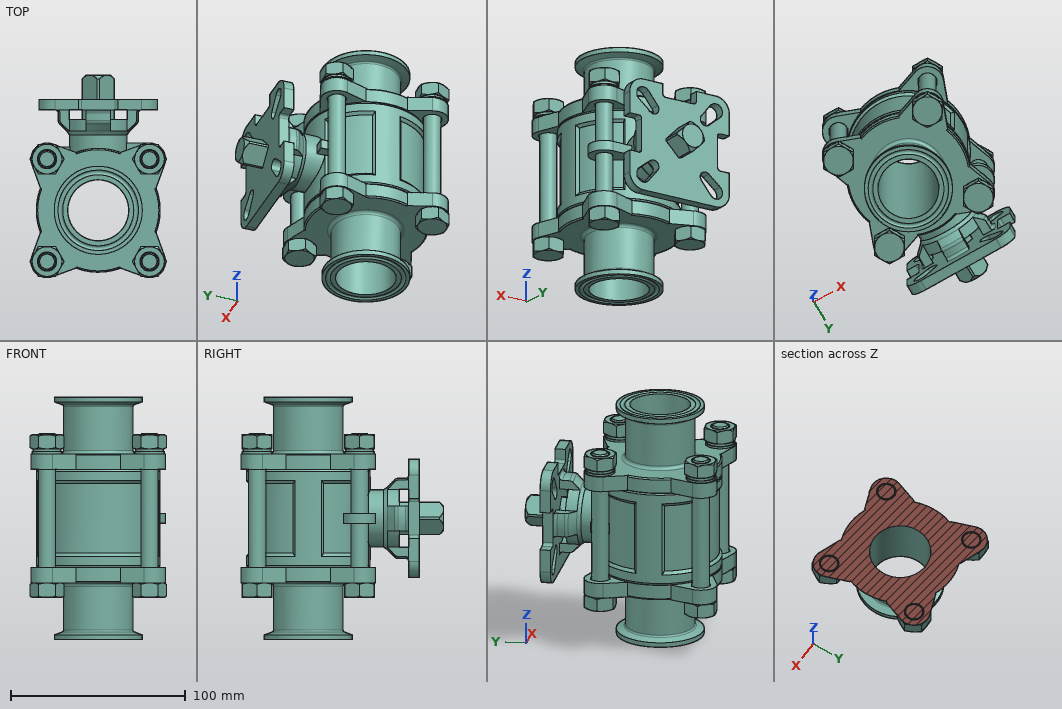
import cadquery as cq
import math

HALF_LENGTH = 69.5
BORE_D = 34.8
TUBE_D = 40.0
FERRULE_D = 50.5
FERRULE_RIM = 2.8
FERRULE_CONE_ANGLE = math.radians(20)
FERRULE_BLEND_R = 1.1
GROOVE_MEAN_R = 21.7
GROOVE_WIDTH = 2.7
GROOVE_DEPTH = 1.0
TUBE_FOOT_FLARE = 2.0

FLANGE_IN_Z = 28.0
FLANGE_THICKNESS = 9.0
FLANGE_OUT_Z = FLANGE_IN_Z + FLANGE_THICKNESS
FLANGE_D = 71.0
FLANGE_EDGE_CHAMFER = 0.8
LOBE_R = 9.25
LOBE_START_ANGLE = math.radians(21)

BOLT_CIRCLE_D = 83.0
BOLT_OFFSET = BOLT_CIRCLE_D / 2 / math.sqrt(2)
BOLT_D = 10.0
BOLT_HOLE_D = 11.0
HEX_FLATS = 17.0
HEX_CORNERS = HEX_FLATS / math.cos(math.pi / 6)
HEX_CHAMFER_ANGLE = math.radians(30)
HEAD_HEIGHT = 8.3
WASHER_D = 17.0
WASHER_THICKNESS = 1.2
SPRING_WASHER_D = 16.0
SPRING_WASHER_THICKNESS = 1.6
NUT_HEIGHT = 8.1
BOLT_TIP = 0.8
BOLT_TIP_D = 8.5
NUT_COUNTERSINK = (BOLT_HOLE_D - BOLT_D) / 2

BODY_R = 35.5
BODY_END_CHAMFER_R = 0.5
BODY_END_CHAMFER_Z = 1.1
PANEL_HALF_HEIGHT = 21.7
PANEL_BEVEL_Z = 1.8
PANEL_DEPTH = 1.5
RIB_HALF_WIDTH = 7.6
RIB_BEVEL = 1.1

NECK_D = 33.0
NECK_TAPER_START_Y = 43.1
NECK_COLLAR_Y = 45.3
NECK_COLLAR_D = 36.0
NECK_END_Y = 52.1

LUG_HALF_HEIGHT = 2.9
LEFT_LUG_Y = 36.4
LUG_INNER_Y = 25.0
LEFT_LUG_X = -22.7

PLATE_IN_Y = 57.5
PLATE_OUT_Y = 63.6
PLATE_THICKNESS = PLATE_OUT_Y - PLATE_IN_Y
PLATE_HALF = 34.0
PLATE_CORNER_R = 9.2
NOTCH_HALF_WIDTH = 11.4
NOTCH_DEPTH = 8.0
NOTCH_FILLET = 1.8
SLOT_INNER_D = 7.0
SLOT_OUTER_D = 9.0
SLOT_INNER_CIRCLE_D = 50.0
SLOT_OUTER_CIRCLE_D = 70.0

ARM_OUTER_R = 23.0
ARM_HALF_WIDTH = 7.1
ARM_BEND_R = 2.8
ARM_PLATE_FILLET = 1.8

STEM_FLATS = 14.0
STEM_D = 18.5
STEM_END_Y = 116.09 - BOLT_OFFSET - LOBE_R
STEM_CHAMFER = 2.2


def cylinder_z(diameter, z_start, height):
    return cq.Workplane("XY").workplane(offset=z_start).circle(diameter / 2).extrude(height)


def cylinder_y(diameter, y_start, y_end):
    return cq.Workplane("XZ").workplane(offset=-y_start).circle(diameter / 2).extrude(y_start - y_end)


def revolve_z(points):
    return cq.Workplane("XZ").polyline(points).close().revolve(360, (0, 0, 0), (0, 1, 0))


def pipe_end():
    """Tube flared into the flange, with a conical clamp ferrule at its end."""
    tube_r = TUBE_D / 2
    rim_r = FERRULE_D / 2
    foot_r = tube_r + TUBE_FOOT_FLARE
    rim_z = HALF_LENGTH - FERRULE_RIM
    cone_end_r = tube_r + FERRULE_BLEND_R * (1 - math.sin(FERRULE_CONE_ANGLE))
    cone_end_z = rim_z - (rim_r - cone_end_r) * math.tan(FERRULE_CONE_ANGLE)
    blend_end_z = cone_end_z - FERRULE_BLEND_R * math.cos(FERRULE_CONE_ANGLE)
    return (
        cq.Workplane("XZ")
        .moveTo(0, FLANGE_IN_Z)
        .lineTo(foot_r, FLANGE_IN_Z)
        .lineTo(foot_r, FLANGE_OUT_Z)
        .radiusArc((tube_r, FLANGE_OUT_Z + TUBE_FOOT_FLARE), TUBE_FOOT_FLARE)
        .lineTo(tube_r, blend_end_z)
        .radiusArc((cone_end_r, cone_end_z), FERRULE_BLEND_R)
        .lineTo(rim_r, rim_z)
        .lineTo(rim_r, HALF_LENGTH)
        .lineTo(0, HALF_LENGTH)
        .close()
        .revolve(360, (0, 0, 0), (0, 1, 0))
    )


def gasket_groove():
    half = GROOVE_WIDTH / 2
    return (
        cq.Workplane("XZ")
        .moveTo(GROOVE_MEAN_R - half, HALF_LENGTH)
        .threePointArc((GROOVE_MEAN_R, HALF_LENGTH - GROOVE_DEPTH), (GROOVE_MEAN_R + half, HALF_LENGTH))
        .close()
        .revolve(360, (0, 0, 0), (0, 1, 0))
    )


def flange_lobe():
    """Lobe around one bolt, with straight flanks running to the round flange."""
    disc_r = FLANGE_D / 2
    near_x = disc_r * math.cos(LOBE_START_ANGLE)
    near_y = disc_r * math.sin(LOBE_START_ANGLE)
    dx = BOLT_OFFSET - near_x
    dy = BOLT_OFFSET - near_y
    reach = math.hypot(dx, dy)
    flank_angle = math.atan2(dy, dx) - math.asin(LOBE_R / reach)
    flank = math.sqrt(reach**2 - LOBE_R**2)
    tangent_x = near_x + flank * math.cos(flank_angle)
    tangent_y = near_y + flank * math.sin(flank_angle)
    tip = BOLT_OFFSET + LOBE_R / math.sqrt(2)
    return (
        cq.Workplane("XY")
        .workplane(offset=FLANGE_IN_Z)
        .lineTo(near_x, near_y)
        .lineTo(tangent_x, tangent_y)
        .threePointArc((tip, tip), (tangent_y, tangent_x))
        .lineTo(near_y, near_x)
        .close()
        .extrude(FLANGE_THICKNESS)
    )


def flange():
    plate = cylinder_z(FLANGE_D, FLANGE_IN_Z, FLANGE_THICKNESS).faces(">Z").chamfer(FLANGE_EDGE_CHAMFER)
    lobe = flange_lobe()
    for turn in range(4):
        plate = plate.union(lobe.rotate((0, 0, 0), (0, 0, 1), 90 * turn))
    return plate.cut(at_bolts(cylinder_z(BOLT_HOLE_D, FLANGE_IN_Z, FLANGE_THICKNESS)))


def at_bolts(shape):
    copies = cq.Workplane("XY")
    for x in (-BOLT_OFFSET, BOLT_OFFSET):
        for y in (-BOLT_OFFSET, BOLT_OFFSET):
            copies = copies.union(shape.translate((x, y, 0)))
    return copies


def hexagon(z_start, height):
    """Hexagon with corners on X, its rims turned to a cone."""
    flat_r = HEX_FLATS / 2
    corner_r = HEX_CORNERS / 2
    drop = (corner_r - flat_r) * math.tan(HEX_CHAMFER_ANGLE)
    top = z_start + height
    turned = revolve_z(
        [
            (0, z_start),
            (flat_r, z_start),
            (corner_r, z_start + drop),
            (corner_r, top - drop),
            (flat_r, top),
            (0, top),
        ]
    )
    prism = cq.Workplane("XY").workplane(offset=z_start).polygon(6, HEX_CORNERS).extrude(height)
    return prism.intersect(turned)


def bolt_set():
    """Bolt head below, shank, washers and nut above."""
    nut_z = FLANGE_OUT_Z + WASHER_THICKNESS + SPRING_WASHER_THICKNESS
    nut_top = nut_z + NUT_HEIGHT
    head = hexagon(-FLANGE_OUT_Z - HEAD_HEIGHT, HEAD_HEIGHT)
    washer = cylinder_z(WASHER_D, FLANGE_OUT_Z, WASHER_THICKNESS)
    spring_washer = cylinder_z(SPRING_WASHER_D, FLANGE_OUT_Z + WASHER_THICKNESS, SPRING_WASHER_THICKNESS)
    sink_floor = nut_top - NUT_COUNTERSINK
    countersink = revolve_z(
        [(0, nut_top), (BOLT_HOLE_D / 2, nut_top), (BOLT_D / 2, sink_floor), (0, sink_floor)]
    )
    nut = hexagon(nut_z, NUT_HEIGHT).cut(countersink)
    shank = revolve_z(
        [
            (0, -FLANGE_OUT_Z),
            (BOLT_D / 2, -FLANGE_OUT_Z),
            (BOLT_D / 2, nut_top),
            (BOLT_TIP_D / 2, nut_top + BOLT_TIP),
            (0, nut_top + BOLT_TIP),
        ]
    )
    return head.union(shank).union(washer).union(spring_washer).union(nut)


def panel_recess():
    """Shallow bevelled band around the body, broken by ribs at +X, -X and +Y."""
    floor_r = BODY_R - PANEL_DEPTH
    floor_z = PANEL_HALF_HEIGHT - PANEL_BEVEL_Z
    band = revolve_z(
        [(BODY_R, -PANEL_HALF_HEIGHT), (floor_r, -floor_z), (floor_r, floor_z), (BODY_R, PANEL_HALF_HEIGHT)]
    )
    rib_root = RIB_HALF_WIDTH + RIB_BEVEL
    edge_x = math.sqrt(BODY_R**2 - RIB_HALF_WIDTH**2)
    root_x = math.sqrt(floor_r**2 - rib_root**2)
    side_rib = (
        cq.Workplane("XY")
        .workplane(offset=-PANEL_HALF_HEIGHT)
        .moveTo(0, -rib_root)
        .lineTo(root_x, -rib_root)
        .lineTo(edge_x, -RIB_HALF_WIDTH)
        .lineTo(BODY_R, -RIB_HALF_WIDTH)
        .lineTo(BODY_R, RIB_HALF_WIDTH)
        .lineTo(edge_x, RIB_HALF_WIDTH)
        .lineTo(root_x, rib_root)
        .lineTo(0, rib_root)
        .close()
        .extrude(2 * PANEL_HALF_HEIGHT)
    )
    neck_rib = cq.Workplane("XY").box(NECK_D, BODY_R, 2 * PANEL_HALF_HEIGHT, centered=(True, False, True))
    return band.cut(side_rib).cut(side_rib.mirror("YZ")).cut(neck_rib)


def body():
    end_r = BODY_R - BODY_END_CHAMFER_R
    shoulder_z = FLANGE_IN_Z - BODY_END_CHAMFER_Z
    barrel = revolve_z(
        [
            (0, -FLANGE_IN_Z),
            (end_r, -FLANGE_IN_Z),
            (BODY_R, -shoulder_z),
            (BODY_R, shoulder_z),
            (end_r, FLANGE_IN_Z),
            (0, FLANGE_IN_Z),
        ]
    )
    return barrel.cut(panel_recess())


def neck():
    profile = [
        (0, 0),
        (NECK_D / 2, 0),
        (NECK_D / 2, NECK_TAPER_START_Y),
        (NECK_COLLAR_D / 2, NECK_COLLAR_Y),
        (NECK_COLLAR_D / 2, NECK_END_Y),
        (0, NECK_END_Y),
    ]
    return cq.Workplane("XY").polyline(profile).close().revolve(360, (0, 0, 0), (0, 1, 0))


def stop_lugs():
    """Short lug on the -X side of the neck and one rounded around the bolt on the +X side."""
    height = 2 * LUG_HALF_HEIGHT
    base = cq.Workplane("XY").workplane(offset=-LUG_HALF_HEIGHT)
    left = base.moveTo(LEFT_LUG_X, LUG_INNER_Y).lineTo(0, LUG_INNER_Y).lineTo(0, LEFT_LUG_Y)
    left = left.lineTo(LEFT_LUG_X, LEFT_LUG_Y).close().extrude(height)
    lug_end = cylinder_z(2 * LOBE_R, -LUG_HALF_HEIGHT, height).translate((BOLT_OFFSET, BOLT_OFFSET, 0))
    bar = base.center(BOLT_OFFSET / 2, BOLT_OFFSET).rect(BOLT_OFFSET, 2 * LOBE_R).extrude(height)
    return left.union(bar).union(lug_end)


def tapered_slot():
    """Slot along X through the plate, its flanks tangent to a small inner and a larger outer end."""
    inner_x = SLOT_INNER_CIRCLE_D / 2
    outer_x = SLOT_OUTER_CIRCLE_D / 2
    inner_r = SLOT_INNER_D / 2
    outer_r = SLOT_OUTER_D / 2
    sine = (outer_r - inner_r) / (outer_x - inner_x)
    cosine = math.sqrt(1 - sine**2)
    inner_tangent = (inner_x - inner_r * sine, inner_r * cosine)
    outer_tangent = (outer_x - outer_r * sine, outer_r * cosine)
    return (
        cq.Workplane("XZ")
        .workplane(offset=-PLATE_IN_Y)
        .moveTo(*inner_tangent)
        .lineTo(*outer_tangent)
        .threePointArc((outer_x + outer_r, 0), (outer_tangent[0], -outer_tangent[1]))
        .lineTo(inner_tangent[0], -inner_tangent[1])
        .threePointArc((inner_x - inner_r, 0), inner_tangent)
        .close()
        .extrude(-PLATE_THICKNESS)
    )


def mounting_plate():
    side = 2 * PLATE_HALF
    plate = (
        cq.Workplane("XZ")
        .workplane(offset=-PLATE_IN_Y)
        .rect(side, side)
        .extrude(-PLATE_THICKNESS)
        .edges("|Y")
        .fillet(PLATE_CORNER_R)
    )
    notch = (
        cq.Workplane("XZ")
        .workplane(offset=-PLATE_IN_Y)
        .center(PLATE_HALF, 0)
        .rect(2 * NOTCH_DEPTH, 2 * NOTCH_HALF_WIDTH)
        .extrude(-PLATE_THICKNESS)
        .edges("|Y")
        .fillet(NOTCH_FILLET)
    )
    slot = tapered_slot()
    for turn in range(3):
        plate = plate.cut(notch.rotate((0, 0, 0), (0, -1, 0), 90 * turn))
    for turn in range(4):
        plate = plate.cut(slot.rotate((0, 0, 0), (0, 1, 0), 45 + 90 * turn))
    return plate


def arm():
    """Slice of a bell turned about Y: a 45 degree cone from the collar, bent up to the plate."""
    inner_r = NECK_COLLAR_D / 2
    root_r = NECK_D / 2
    bend_start_r = ARM_OUTER_R - ARM_BEND_R * (1 - math.cos(math.pi / 4))
    bend_start_y = NECK_COLLAR_Y + bend_start_r - inner_r
    bend_end_y = bend_start_y + ARM_BEND_R * math.sin(math.pi / 4)
    bell = (
        cq.Workplane("XY")
        .moveTo(root_r, NECK_COLLAR_Y)
        .lineTo(inner_r, NECK_COLLAR_Y)
        .lineTo(bend_start_r, bend_start_y)
        .radiusArc((ARM_OUTER_R, bend_end_y), -ARM_BEND_R)
        .lineTo(ARM_OUTER_R, PLATE_IN_Y - ARM_PLATE_FILLET)
        .radiusArc((ARM_OUTER_R + ARM_PLATE_FILLET, PLATE_IN_Y), ARM_PLATE_FILLET)
        .lineTo(inner_r, PLATE_IN_Y)
        .lineTo(inner_r, NECK_END_Y)
        .lineTo(root_r, NECK_END_Y)
        .close()
        .revolve(360, (0, 0, 0), (0, 1, 0))
    )
    slice_box = cq.Workplane("XY").box(
        PLATE_HALF, PLATE_IN_Y, 2 * ARM_HALF_WIDTH, centered=(False, False, True)
    )
    return bell.intersect(slice_box)


def stem():
    square = (
        cq.Workplane("XZ")
        .rect(STEM_FLATS, STEM_FLATS)
        .extrude(-STEM_END_Y)
        .rotate((0, 0, 0), (0, 1, 0), 45)
    )
    turned = cylinder_y(STEM_D, 0, STEM_END_Y).faces(">Y").chamfer(STEM_CHAMFER)
    return square.intersect(turned)


result = body().union(neck()).union(stop_lugs())
for half in (pipe_end().cut(gasket_groove()), flange()):
    result = result.union(half).union(half.mirror("XY"))
result = result.union(mounting_plate()).union(stem())
for turn in range(4):
    result = result.union(arm().rotate((0, 0, 0), (0, 1, 0), 90 * turn))
result = result.union(at_bolts(bolt_set()))
result = result.cut(cylinder_z(BORE_D, -HALF_LENGTH, 2 * HALF_LENGTH))